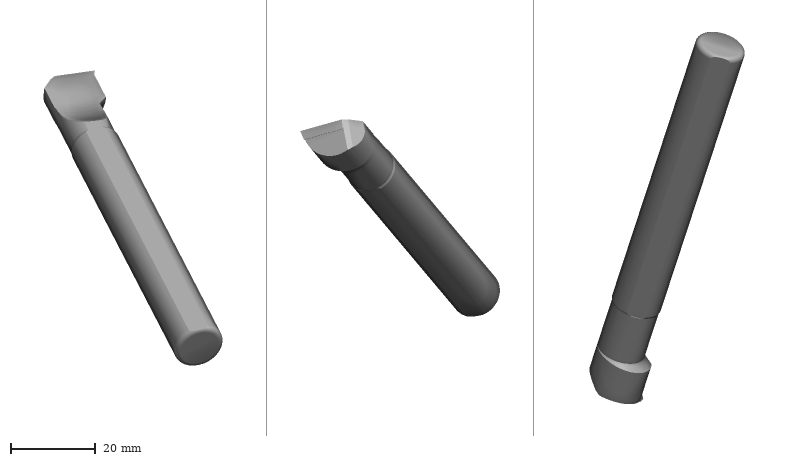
import cadquery as cq
import math

length = 100.0

shank_radius = 6.0
shank_start = 25.4
flat_height = 5.5
end_fillet = 1.2

neck_radius = 5.75
neck_end = 24.8

head_radius = 6.9
head_offset = 1.1
head_end = 11.8
head_back_angle = 48.0

tip_y = 8.7
rake_angle = 9.0
gullet_floor_radius = 11.6
gullet_arc_radius = 16.0
gullet_height = 8.0

insert_side = 10.8
triangle_angle = 60.0
insert_thickness = 2.3
insert_relief = 7.0
lead_angle = 2.5

front_relief = 9.5
corner_x, corner_y = 0.4, -1.3
corner_angle = 35.0
corner_relief = 3.5
side_x, side_y = 1.7, -3.1
side_angle = 48.0
side_relief = 1.0
trim_size = 40.0


def make_rake_plane():
    """Plane of the rake face, through the cutting tip and rising toward -Y."""
    tilt = math.radians(rake_angle)
    return cq.Plane(
        origin=(0, tip_y, 0),
        xDir=(1, 0, 0),
        normal=(0, math.sin(tilt), math.cos(tilt)),
    )


def make_bar_blank():
    """Neck and shank turned about the X axis."""
    arc_shift = end_fillet * math.sqrt(0.5)
    return (
        cq.Workplane("XY")
        .moveTo(0, 0)
        .lineTo(0, neck_radius)
        .lineTo(neck_end, neck_radius)
        .lineTo(shank_start, shank_radius)
        .lineTo(length - end_fillet, shank_radius)
        .threePointArc(
            (length - end_fillet + arc_shift, shank_radius - end_fillet + arc_shift),
            (length, shank_radius - end_fillet),
        )
        .lineTo(length, 0)
        .close()
        .revolve(360, (0, 0, 0), (1, 0, 0))
    )


def make_head_blank():
    """Eccentric head, ended at the back by a cone about the bar axis."""
    head = cq.Workplane("YZ").center(head_offset, 0).circle(head_radius).extrude(head_end)
    largest_reach = head_offset + head_radius
    cone_length = (largest_reach - neck_radius) / math.tan(math.radians(head_back_angle))
    envelope = (
        cq.Workplane("XY")
        .polyline([
            (0, 0),
            (0, largest_reach),
            (head_end - cone_length, largest_reach),
            (head_end, neck_radius),
            (head_end, 0),
        ])
        .close()
        .revolve(360, (0, 0, 0), (1, 0, 0))
    )
    return head.intersect(envelope)


def make_head_flat_cutter():
    """Block outside a flat on the -Y side above Z = 0, square to the rake face."""
    block = cq.Workplane("XY").box(head_end, head_radius, head_radius, centered=False)
    block = block.translate((0, -head_radius, 0)).rotate((0, 0, 0), (1, 0, 0), -rake_angle)
    return block.translate((0, head_offset - head_radius, 0))


def make_flat_cutter(start, direction):
    """Block beyond a flat above (+1) or below (-1) the axis, from start to the shank end."""
    depth = shank_radius
    block = cq.Workplane("XY").box(
        length - start, 2 * shank_radius, depth, centered=(False, True, True)
    )
    return block.translate((start, 0, direction * (flat_height + depth / 2)))


def make_gullet_cutter():
    """Disc normal to the rake face, flaring upward at its rim along an arc."""
    rake_height = tip_y * math.tan(math.radians(rake_angle))

    def rim(height):
        rise = gullet_arc_radius - height
        return gullet_floor_radius + math.sqrt(gullet_arc_radius**2 - rise**2)

    middle = gullet_height / 2
    profile = (
        cq.Workplane("XZ")
        .moveTo(0, 0)
        .lineTo(gullet_floor_radius, 0)
        .threePointArc((rim(middle), middle), (rim(gullet_height), gullet_height))
        .lineTo(0, gullet_height)
        .close()
    )
    disc = profile.revolve(360, (0, 0, 0), (0, 1, 0))
    return disc.rotate((0, 0, 0), (1, 0, 0), -rake_angle).translate((0, 0, rake_height))


def make_trim(x, y, plan_angle, relief):
    """Block in front of a nose face through (x, y, 0), undercut by the relief angle."""
    block = cq.Workplane("XY").box(trim_size, trim_size, trim_size).translate((-trim_size / 2, 0, 0))
    block = block.rotate((0, 0, 0), (0, 1, 0), -relief)
    return block.rotate((0, 0, 0), (0, 0, 1), plan_angle).translate((x, y, 0))


def make_front_trim():
    """Trim of the front face, tilted with the rake face about the cutting tip."""
    trim = make_trim(0, tip_y, lead_angle, front_relief)
    return trim.rotate((0, tip_y, 0), (1, tip_y, 0), -rake_angle)


def make_insert_blank():
    """Triangular plate flush with the rake face, with relieved sides."""
    def along(angle):
        direction = math.radians(angle)
        return (insert_side * math.cos(direction), insert_side * math.sin(direction))

    front_direction = lead_angle - 90
    return (
        cq.Workplane(make_rake_plane())
        .polyline([(0, 0), along(front_direction), along(front_direction + triangle_angle)])
        .close()
        .extrude(-insert_thickness, taper=insert_relief)
    )


corner_trim = make_trim(corner_x, corner_y, corner_angle, corner_relief)
insert = make_insert_blank().cut(corner_trim)

holder = make_bar_blank().union(make_head_blank()).cut(make_head_flat_cutter())
holder = holder.cut(make_flat_cutter(0, 1)).cut(make_flat_cutter(neck_end, -1))
holder = holder.cut(make_gullet_cutter())
holder = holder.cut(make_front_trim())
holder = holder.cut(corner_trim)
holder = holder.cut(make_trim(side_x, side_y, side_angle, side_relief))
holder = holder.cut(insert)

result = cq.Compound.makeCompound([holder.val(), insert.val()])